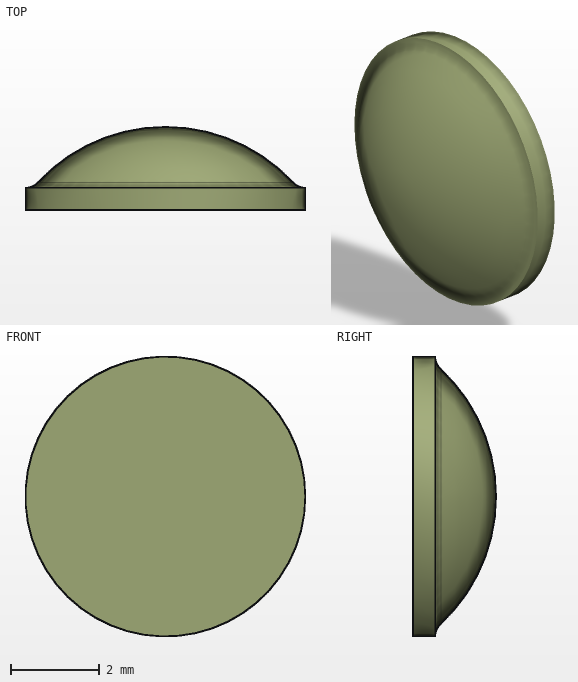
import cadquery as cq
import math

lens_diameter = 6.35
lens_thickness = 1.89
rim_thickness = 0.51
dome_radius = 3.95
fillet_radius = 0.37

rim_radius = lens_diameter / 2
dome_center_y = lens_thickness - dome_radius

fillet_center_y = rim_thickness + fillet_radius
center_distance = dome_radius + fillet_radius
fillet_center_x = math.sqrt(center_distance**2 - (fillet_center_y - dome_center_y) ** 2)
tangent_angle = math.atan2(fillet_center_y - dome_center_y, fillet_center_x)


def point_on_dome(angle):
    """Profile point on the dome at an angle above the radial direction."""
    return (dome_radius * math.cos(angle), dome_center_y + dome_radius * math.sin(angle))


def point_on_fillet(angle):
    """Profile point on the fillet at an angle below the inward radial direction."""
    return (
        fillet_center_x - fillet_radius * math.cos(angle),
        fillet_center_y - fillet_radius * math.sin(angle),
    )


quarter_turn = math.pi / 2

half_section = (
    cq.Workplane("XY")
    .lineTo(rim_radius, 0)
    .lineTo(rim_radius, rim_thickness)
    .lineTo(fillet_center_x, rim_thickness)
    .threePointArc(
        point_on_fillet((quarter_turn + tangent_angle) / 2),
        point_on_fillet(tangent_angle),
    )
    .threePointArc(
        point_on_dome((tangent_angle + quarter_turn) / 2),
        (0, lens_thickness),
    )
    .close()
)

result = half_section.revolve(360, (0, 0, 0), (0, 1, 0))